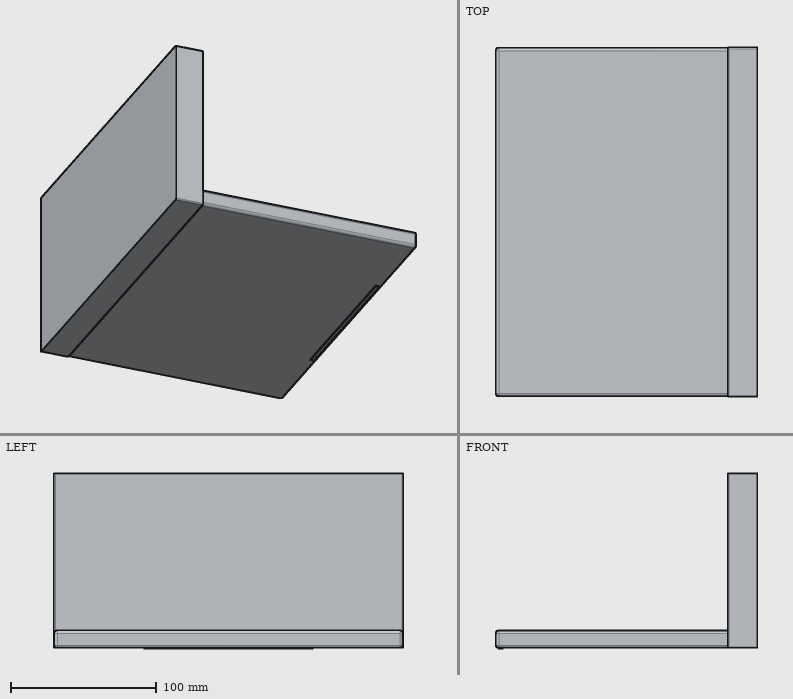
import cadquery as cq

overall_width = 241.0
overall_depth = 180.3
overall_height = 121.3

block_depth = 20.5
block_edge_radius = 1.0

base_width = 240.4
base_thickness = 12.0
base_edge_radius = 2.0

foot_height = 0.7
foot_depth = 3.0
foot_length = 116.2

base_depth = overall_depth - block_depth
block_height = overall_height - foot_height


def make_base():
    """Flat plate with every edge rounded except those against the back block."""
    plate = cq.Workplane("XY").box(base_depth, base_width, base_thickness, centered=(False, True, False))
    return plate.edges("not >X").fillet(base_edge_radius)


def make_back_block():
    """Upright block behind the base, rounded everywhere but around its rear face."""
    block = cq.Workplane("XY").box(block_depth, overall_width, block_height, centered=(False, True, False))
    return block.edges("not >X").fillet(block_edge_radius).translate((base_depth, 0, 0))


def make_foot():
    """Thin strip below the base, starting where the front edge rounding ends."""
    foot = cq.Workplane("XY").box(foot_depth, foot_length, foot_height, centered=(False, True, False))
    return foot.translate((base_edge_radius, 0, -foot_height))


base = make_base()
back_block = make_back_block()
foot = make_foot()

result = cq.Compound.makeCompound([base.val(), back_block.val(), foot.val()])